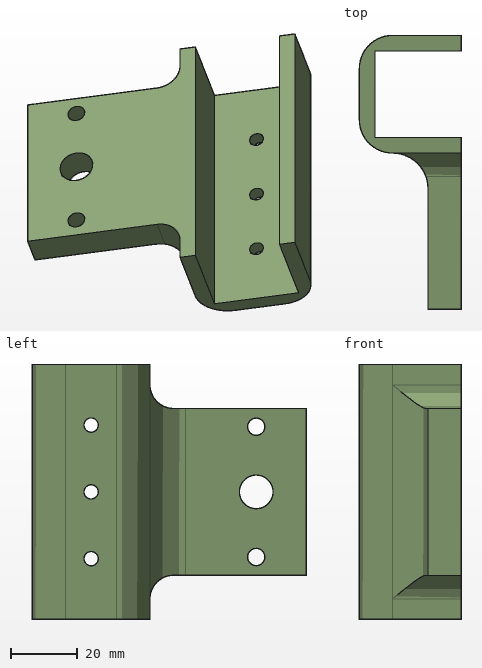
import cadquery as cq

channel_height = 76.4
total_length = 82.08

cavity_size = 25.8
wall = 4.75
depth = cavity_size + wall
channel_width = cavity_size + 2 * wall
corner_radius = 10.0

flange_thickness = 10.0
flange_height = 50.0
flange_face_x = depth - flange_thickness
face_fillet = flange_face_x - corner_radius
edge_fillet = 7.0

web_hole_diameter = 4.2
web_hole_pitch = 20.0
flange_hole_diameter = 5.1
flange_hole_pitch = 39.0
flange_bore_diameter = 10.0
flange_hole_inset = 15.0

channel_front_y = -channel_width / 2
flange_end_y = channel_width / 2 - total_length
flange_hole_y = flange_end_y + flange_hole_inset


def make_channel():
    """U-shaped channel with its two outer corners rounded."""
    outer = (
        cq.Workplane("XY")
        .box(depth, channel_width, channel_height, centered=(False, True, True))
        .edges("|Z and <X")
        .fillet(corner_radius)
    )
    cavity = (
        cq.Workplane("XY")
        .box(cavity_size, cavity_size, channel_height, centered=(False, True, True))
        .translate((wall, 0, 0))
    )
    return outer.cut(cavity)


def make_flange():
    """Flange plate, flared by concave fillets into the channel side wall."""
    root_y = channel_front_y + wall
    plan = (
        cq.Workplane("XY")
        .moveTo(depth, root_y)
        .lineTo(depth, flange_end_y)
        .lineTo(flange_face_x, flange_end_y)
        .lineTo(flange_face_x, channel_front_y - face_fillet)
        .radiusArc((corner_radius, channel_front_y), -face_fillet)
        .lineTo(corner_radius, root_y)
        .close()
        .extrude(channel_height / 2, both=True)
    )
    half_height = flange_height / 2
    flared_half = half_height + edge_fillet
    fillet_end_y = channel_front_y - edge_fillet
    elevation = (
        cq.Workplane("YZ")
        .moveTo(root_y, -flared_half)
        .lineTo(channel_front_y, -flared_half)
        .radiusArc((fillet_end_y, -half_height), -edge_fillet)
        .lineTo(flange_end_y, -half_height)
        .lineTo(flange_end_y, half_height)
        .lineTo(fillet_end_y, half_height)
        .radiusArc((channel_front_y, flared_half), -edge_fillet)
        .lineTo(root_y, flared_half)
        .close()
        .extrude(depth)
    )
    return plan.intersect(elevation)


def drill(body, diameter, y, heights):
    """Drill through holes along X at one Y and several Z heights."""
    tools = (
        cq.Workplane("YZ")
        .pushPoints([(y, z) for z in heights])
        .circle(diameter / 2)
        .extrude(depth)
    )
    return body.cut(tools)


result = make_channel().union(make_flange())
result = drill(result, web_hole_diameter, 0, [-web_hole_pitch, 0, web_hole_pitch])
flange_hole_heights = [-flange_hole_pitch / 2, flange_hole_pitch / 2]
result = drill(result, flange_hole_diameter, flange_hole_y, flange_hole_heights)
result = drill(result, flange_bore_diameter, flange_hole_y, [0])